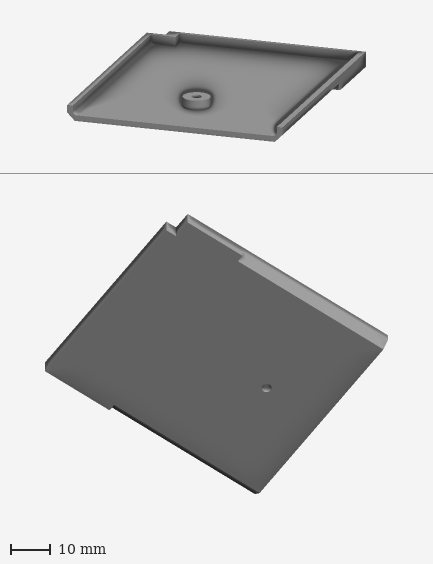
import cadquery as cq

width = 57.0
length = 65.0
height = 4.0

floor_thickness = 1.5
side_wall = 1.5
back_wall = 1.0
inner_fillet = 1.0

notch_width = 5.0
notch_length = 3.0
notch_side_wall = 3.0

grip_chamfer = 2.0
grip_length = 45.0

boss_diameter = 7.0
hole_diameter = 2.5
boss_x = width / 2
boss_y = 17.0


def box_between(x_min, x_max, y_min, y_max, z_min, z_max):
    """Box spanning the given limits."""
    return cq.Workplane("XY").box(
        x_max - x_min, y_max - y_min, z_max - z_min, centered=False
    ).translate((x_min, y_min, z_min))


def make_outer_block():
    """Full block with the back left corner notched out."""
    block = box_between(0, width, 0, length, 0, height)
    notch = box_between(0, notch_width, length - notch_length, length, 0, height)
    return block.cut(notch)


def make_cavity():
    """Open-fronted cavity, rounded along its lower side edges, stepped around the notch."""
    cavity = box_between(
        side_wall, width - side_wall, 0, length - back_wall, floor_thickness, height
    )
    cavity = cavity.edges("|Y and <Z").fillet(inner_fillet)
    notch_surround = box_between(
        0,
        notch_width + notch_side_wall,
        length - notch_length - back_wall,
        length,
        0,
        height,
    )
    return cavity.cut(notch_surround)


def make_grip_chamfers():
    """Triangular prisms that bevel the left and right lower edges."""
    left = (
        cq.Workplane("XZ")
        .polyline([(0, 0), (grip_chamfer, 0), (0, grip_chamfer)])
        .close()
        .extrude(-grip_length)
    )
    right = left.mirror("YZ").translate((width, 0, 0))
    return left.union(right)


def make_cylinder(diameter, z_min, z_max):
    """Vertical cylinder on the boss axis."""
    return (
        cq.Workplane("XY", origin=(boss_x, boss_y, z_min))
        .circle(diameter / 2)
        .extrude(z_max - z_min)
    )


tray = make_outer_block().cut(make_cavity()).cut(make_grip_chamfers())
boss = make_cylinder(boss_diameter, 0, height)
screw_hole = make_cylinder(hole_diameter, 0, height)
result = tray.union(boss).cut(screw_hole)